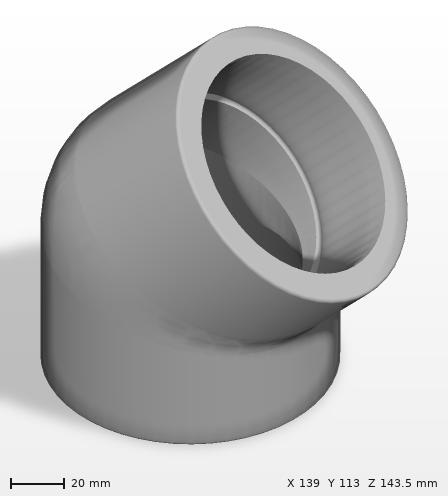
import cadquery as cq
import math

outer_radius = 56.5
bore_radius = 42.3
socket_radius = 44.9
socket_depth = 37.7
leg_length = 61.0
bend_angle = 45.0
inside_bend_radius = 2.9
outside_bend_radius = 51.6
rim_fillet = 1.3
bend_sections = 5

half_bend = math.radians(bend_angle / 2)
bend_tangent = math.tan(half_bend)


def arc_point(x, radius, angle):
    """Point on the side outline's bend arc, at an angle from the start of the arc."""
    start_z = leg_length - x * bend_tangent - radius * bend_tangent
    return (
        x + radius * (1 - math.cos(angle)),
        start_z + radius * math.sin(angle),
    )


def bend_section(angle):
    """Elliptical cross-section joining the inside and outside bend arcs."""
    outside_x, outside_z = arc_point(-outer_radius, outside_bend_radius, angle)
    inside_x, inside_z = arc_point(outer_radius, inside_bend_radius, angle)
    run = inside_x - outside_x
    rise = inside_z - outside_z
    center = ((outside_x + inside_x) / 2, 0, (outside_z + inside_z) / 2)
    plane = cq.Plane(origin=center, xDir=(run, 0, rise), normal=(-rise, 0, run))
    half_width = math.hypot(run, rise) / 2
    return cq.Workplane(plane).ellipse(half_width, outer_radius).val()


def bend():
    """Middle of the elbow, tight on the inside and rounded on the outside."""
    sections = []
    for index in range(bend_sections):
        angle = math.radians(bend_angle) * index / (bend_sections - 1)
        sections.append(bend_section(angle))
    return cq.Workplane(cq.Solid.makeLoft(sections))


def tilt(leg):
    """Turn a leg about the crossing of the axes into the upper position."""
    pivot = (0, 0, leg_length)
    pivot_axis_end = (0, 1, leg_length)
    return leg.rotate(pivot, pivot_axis_end, bend_angle - 180)


def leg_envelope(inside_z, outside_z):
    """Block around the lower leg with a sloping top, low on the inside of the bend."""
    return (
        cq.Workplane("XZ")
        .moveTo(-outer_radius, 0)
        .lineTo(outer_radius, 0)
        .lineTo(outer_radius, inside_z)
        .lineTo(-outer_radius, outside_z)
        .close()
        .extrude(outer_radius, both=True)
    )


def outer_leg():
    """Outer cylinder with a rounded rim, cut off where the bend begins."""
    outside_z = arc_point(-outer_radius, outside_bend_radius, 0)[1]
    inside_z = arc_point(outer_radius, inside_bend_radius, 0)[1]
    cylinder = cq.Workplane().circle(outer_radius).extrude(outside_z)
    return cylinder.faces("<Z").edges().fillet(rim_fillet).intersect(leg_envelope(inside_z, outside_z))


def inner_leg():
    """Hollow of one leg: a pipe socket and a narrower bore, mitred at the bend."""
    bore_top = leg_length + bore_radius * bend_tangent
    mitre_rise = outer_radius * bend_tangent
    mitre = leg_envelope(leg_length - mitre_rise, leg_length + mitre_rise)
    bore = cq.Workplane().circle(bore_radius).extrude(bore_top).intersect(mitre)
    socket = cq.Workplane().circle(socket_radius).extrude(socket_depth)
    return bore.union(socket)


def upper(leg):
    """Mirrored copy of a leg, placed along the tilted axis."""
    return tilt(leg.mirror("YZ"))


body = outer_leg().union(bend()).union(upper(outer_leg()))
result = body.cut(inner_leg()).cut(upper(inner_leg()))